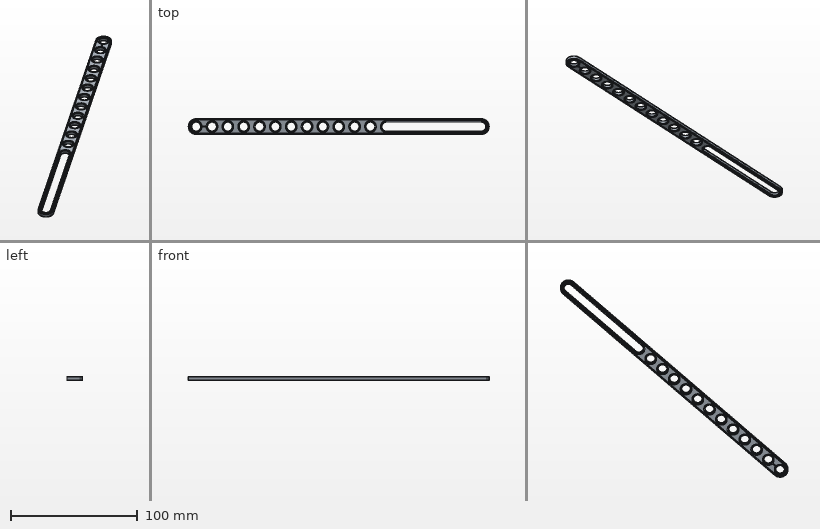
import cadquery as cq

length = 237.5
thickness = 3.0
pitch_count = 19
hole_count = 12
rim_diameter = 9.3
rim_wall = 1.15
border_wall = 1.07
recess_depth = 0.2
rib_width = 0.7
edge_chamfer = 0.28

pitch = length / pitch_count
width = pitch
half_thickness = thickness / 2
opening_width = rim_diameter - 2 * rim_wall
first_hole_x = (pitch - length) / 2
rib_x = first_hole_x + pitch / 2
slot_start_x = first_hole_x + hole_count * pitch
slot_end_x = -first_hole_x
slot_middle_x = (slot_start_x + slot_end_x) / 2
slot_travel = slot_end_x - slot_start_x

openings = [(first_hole_x + index * pitch, 0) for index in range(hole_count)]
openings.append((slot_middle_x, slot_travel))


def round_ended(center_x, travel, across, base_z=0):
    """Outline with round ends; a travel of zero gives a circle."""
    plane = cq.Workplane("XY", origin=(center_x, 0, base_z))
    if travel:
        return plane.slot2D(travel + across, across)
    return plane.circle(across / 2)


def strip():
    """Flat bar with full-round ends and chamfered outer edges."""
    bar = round_ended(0, length - width, width).extrude(half_thickness, both=True)
    return bar.faces("|Z").chamfer(edge_chamfer)


def top_recess():
    """Sunken panel of the top face, leaving the border, opening rims and rib raised."""
    floor_z = half_thickness - recess_depth
    panel = round_ended(0, length - width, width - 2 * border_wall, floor_z).extrude(recess_depth)
    for center_x, travel in openings:
        panel = panel.cut(round_ended(center_x, travel, rim_diameter, floor_z).extrude(recess_depth))
    rib = cq.Workplane("XY", origin=(rib_x, 0, floor_z)).rect(pitch, rib_width).extrude(recess_depth)
    return panel.cut(rib)


def opening_cutter(center_x, travel):
    """Through cutter for a hole or slot, flared by the edge chamfer at both faces."""
    core = round_ended(center_x, travel, opening_width).extrude(half_thickness, both=True)
    mouth_width = opening_width + 2 * edge_chamfer
    flare = round_ended(center_x, travel, mouth_width, half_thickness).extrude(-edge_chamfer, taper=45)
    return core.union(flare).union(flare.mirror("XY"))


recess = top_recess()
result = strip().cut(recess).cut(recess.mirror("XY"))
for opening_x, opening_travel in openings:
    result = result.cut(opening_cutter(opening_x, opening_travel))